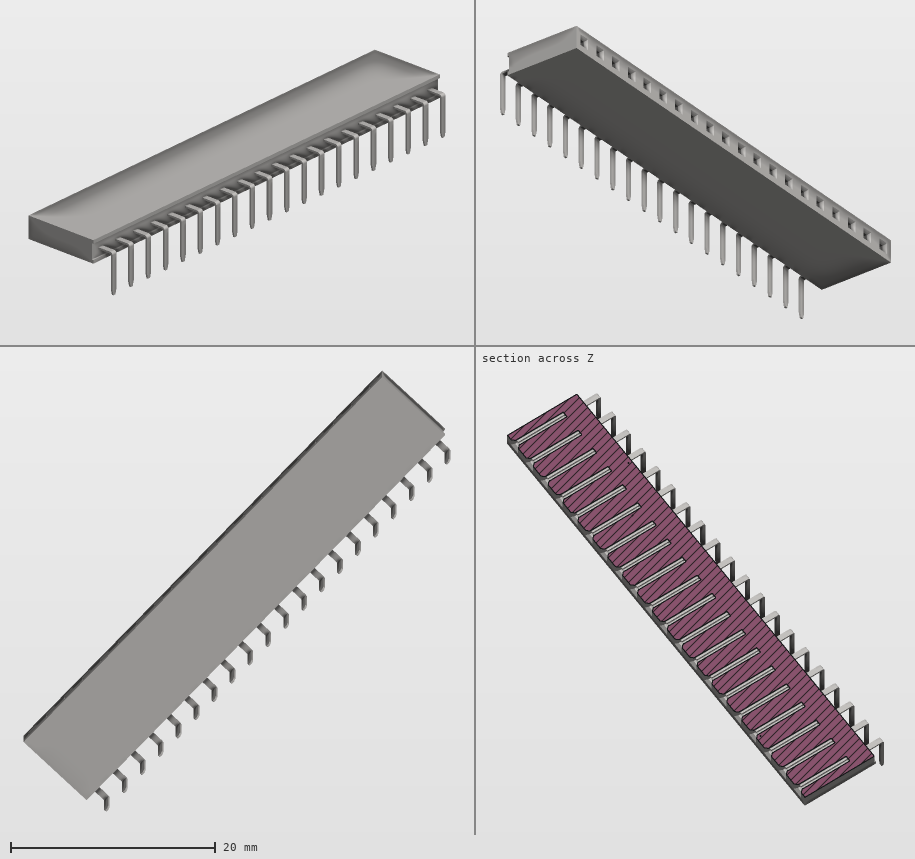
import cadquery as cq

PITCH = 2.54
POSITIONS = 20
BODY_LENGTH = POSITIONS * PITCH
BODY_DEPTH = 8.5
BODY_HEIGHT = 2.54

CHANNEL_DEPTH = 0.2
LIP_HEIGHT = 0.4

MOUTH_SIZE = 1.2
FUNNEL_DEPTH = 0.3
BORE_SIZE = MOUTH_SIZE - 2 * FUNNEL_DEPTH
SOCKET_DEPTH = 6.0
SOCKET_Z = BODY_HEIGHT / 2

OVERALL_DEPTH = 10.13
OVERALL_HEIGHT = 5.84
PIN_WIDTH = 0.6
PIN_THICKNESS = 0.2
PIN_Z = BODY_HEIGHT / 2
PIN_TIP_Z = BODY_HEIGHT - OVERALL_HEIGHT
PIN_EMBED = 1.0
BEND_INNER_RADIUS = 0.1
BEND_OUTER_RADIUS = BEND_INNER_RADIUS + PIN_THICKNESS
TIP_LENGTH = 0.6
TIP_WIDTH = 0.3

LEAF_WIDTH = 0.2
LEAF_THICKNESS = PIN_THICKNESS
LEAF_GAP = 0.16
LEAF_RECESS = 0.5
LEAF_ROOT = 0.5
LEAF_LENGTH = SOCKET_DEPTH - LEAF_RECESS + LEAF_ROOT


def make_housing():
    """Bar with a full-length channel in its rear face."""
    body = cq.Workplane("XY").box(BODY_DEPTH, BODY_LENGTH, BODY_HEIGHT, centered=(False, True, False))
    channel = (
        cq.Workplane("XY")
        .box(CHANNEL_DEPTH, BODY_LENGTH, BODY_HEIGHT - 2 * LIP_HEIGHT, centered=(False, True, False))
        .translate((BODY_DEPTH - CHANNEL_DEPTH, 0, LIP_HEIGHT))
    )
    return body.cut(channel)


def make_socket(y):
    """Cutter for one socket: the funnel mouth and the bore behind it."""
    funnel = (
        cq.Workplane("YZ")
        .rect(MOUTH_SIZE, MOUTH_SIZE)
        .workplane(offset=FUNNEL_DEPTH)
        .rect(BORE_SIZE, BORE_SIZE)
        .loft(ruled=True)
    )
    bore = cq.Workplane("YZ").rect(BORE_SIZE, BORE_SIZE).extrude(SOCKET_DEPTH)
    return funnel.union(bore).translate((0, y, SOCKET_Z))


def make_leaves(y):
    """Pair of contact leaves, rooted in the end wall of the bore."""
    leaf_offset = (LEAF_GAP + LEAF_WIDTH) / 2
    return (
        cq.Workplane("YZ", origin=(LEAF_RECESS, y, PIN_Z))
        .pushPoints([(-leaf_offset, 0), (leaf_offset, 0)])
        .rect(LEAF_WIDTH, LEAF_THICKNESS)
        .extrude(LEAF_LENGTH)
    )


def make_pin(y):
    """One flat terminal: out of the rear face, round the bend, down to a tapered tip."""
    top_z = PIN_Z + PIN_THICKNESS / 2
    start_x = BODY_DEPTH - PIN_EMBED
    side_profile = (
        cq.Workplane("XZ")
        .moveTo(start_x, top_z)
        .lineTo(OVERALL_DEPTH, top_z)
        .lineTo(OVERALL_DEPTH, PIN_TIP_Z)
        .lineTo(OVERALL_DEPTH - PIN_THICKNESS, PIN_TIP_Z)
        .lineTo(OVERALL_DEPTH - PIN_THICKNESS, top_z - PIN_THICKNESS)
        .lineTo(start_x, top_z - PIN_THICKNESS)
        .close()
        .extrude(PIN_WIDTH / 2, both=True)
    )
    bent = (
        side_profile
        .edges("|Y and >X and >Z").fillet(BEND_OUTER_RADIUS)
        .edges(cq.selectors.NearestToPointSelector(
            (OVERALL_DEPTH - PIN_THICKNESS, 0, top_z - PIN_THICKNESS)))
        .fillet(BEND_INNER_RADIUS)
    )
    front_outline = (
        cq.Workplane("YZ")
        .moveTo(-PIN_WIDTH / 2, top_z)
        .lineTo(PIN_WIDTH / 2, top_z)
        .lineTo(PIN_WIDTH / 2, PIN_TIP_Z + TIP_LENGTH)
        .lineTo(TIP_WIDTH / 2, PIN_TIP_Z)
        .lineTo(-TIP_WIDTH / 2, PIN_TIP_Z)
        .lineTo(-PIN_WIDTH / 2, PIN_TIP_Z + TIP_LENGTH)
        .close()
        .extrude(OVERALL_DEPTH)
    )
    return bent.intersect(front_outline).translate((0, y, 0))


result = make_housing()
for index in range(POSITIONS):
    position_y = (index - (POSITIONS - 1) / 2) * PITCH
    result = result.cut(make_socket(position_y))
    result = result.union(make_leaves(position_y))
    result = result.union(make_pin(position_y))